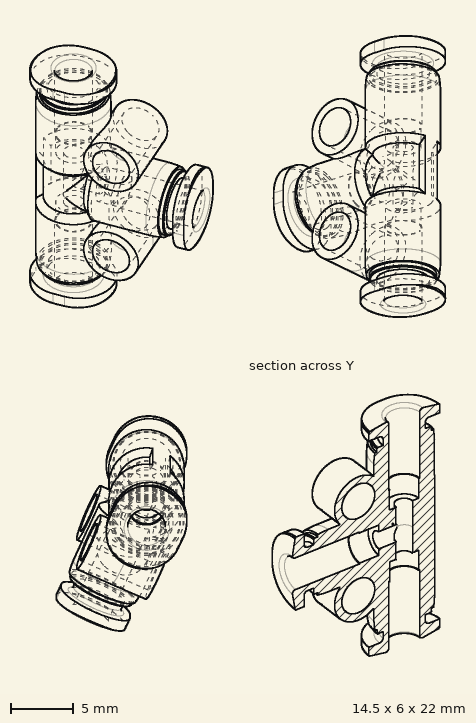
import cadquery as cq
import math

reach = 11.0
body_radius = 6.0 / 2

waist_radius = 2.4
waist_end = 2.5
waist_start = waist_end - (body_radius - waist_radius)
rib_width = 1.52

taper_start = 7.5
taper_end = 8.5
taper_end_radius = 2.9
collar_radius = 5.4 / 2
collar_end = 8.9
collar_chamfer = 0.09

neck_radius = 4.2 / 2
neck_fillet = 0.33
button_base = 9.81
button_width = 2 * body_radius
button_length = 7.0
crown_radius = 3.39
crown_drop = 0.26
crown_edge = button_length / 2 - crown_radius

tube_radius = 3.0 / 2
tube_stop = waist_end
tube_mouth_fillet = 0.3
mouth_radius = tube_radius + tube_mouth_fillet
seat_radius = 2.84 / 2
seat_end = 4.4
flow_radius = 1.6 / 2

eye_radius = 4.7 / 2
eye_hole_radius = 3.2 / 2
eye_offset = 4.5

DIAGONAL = math.sqrt(0.5)


def make_body_arm():
    """Arm of the fitting along +Z from the tee centre, up to the button."""
    taper_middle = (
        body_radius - (body_radius - taper_end_radius) / 4,
        (taper_start + taper_end) / 2,
    )
    fillet_middle = (
        neck_radius + neck_fillet * (1 - DIAGONAL),
        button_base - neck_fillet * (1 - DIAGONAL),
    )
    return (
        cq.Workplane("XZ")
        .lineTo(waist_radius, 0)
        .lineTo(waist_radius, waist_start)
        .lineTo(body_radius, waist_end)
        .lineTo(body_radius, taper_start)
        .threePointArc(taper_middle, (taper_end_radius, taper_end))
        .lineTo(collar_radius, taper_end)
        .lineTo(collar_radius, collar_end - collar_chamfer)
        .lineTo(collar_radius - collar_chamfer, collar_end)
        .lineTo(neck_radius, collar_end)
        .lineTo(neck_radius, button_base - neck_fillet)
        .threePointArc(fillet_middle, (neck_radius + neck_fillet, button_base))
        .lineTo(0, button_base)
        .close()
        .revolve(360, (0, 0), (0, 1))
    )


def make_button():
    """Obround release button with a conical crown, long along X."""
    plate = (
        cq.Workplane("XY", origin=(0, 0, button_base))
        .slot2D(button_length, button_width)
        .extrude(reach - button_base)
    )
    crown = (
        cq.Workplane("XZ")
        .moveTo(0, button_base)
        .lineTo(button_length / 2, button_base)
        .lineTo(button_length / 2, reach - crown_drop - crown_edge)
        .lineTo(crown_radius, reach - crown_drop)
        .lineTo(mouth_radius, reach)
        .lineTo(0, reach)
        .close()
        .revolve(360, (0, 0), (0, 1))
    )
    return plate.intersect(crown)


def make_passage():
    """Flow bore and tube socket of one arm, with a rounded mouth."""
    mouth_middle = (
        mouth_radius - tube_mouth_fillet * DIAGONAL,
        reach - tube_mouth_fillet * (1 - DIAGONAL),
    )
    return (
        cq.Workplane("XZ")
        .lineTo(flow_radius, 0)
        .lineTo(flow_radius, tube_stop)
        .lineTo(seat_radius, tube_stop)
        .lineTo(seat_radius, seat_end)
        .lineTo(tube_radius, seat_end)
        .lineTo(tube_radius, reach - tube_mouth_fillet)
        .threePointArc(mouth_middle, (mouth_radius, reach))
        .lineTo(0, reach)
        .close()
        .revolve(360, (0, 0), (0, 1))
    )


def make_rib():
    """Rib bridging the waist on the side away from the branch."""
    run = cq.Workplane("XY").circle(body_radius).extrude(waist_end, both=True)
    strip = cq.Workplane("XY").box(
        body_radius, rib_width, 2 * waist_end, centered=(False, True, True)
    )
    return run.intersect(strip.translate((-body_radius, 0, 0)))


def make_eye_cylinder(radius, side):
    """Full-depth cylinder along Y at the upper (+1) or lower (-1) eye."""
    return (
        cq.Workplane("XZ")
        .center(eye_offset, side * eye_offset)
        .circle(radius)
        .extrude(body_radius, both=True)
    )


def turn(shape, angle):
    """Swing an upright arm about Y: 0 is up, 90 points along +X, 180 is down."""
    return shape.rotate((0, 0, 0), (0, 1, 0), angle)


arm = make_body_arm().union(make_button())
passage = make_passage()
arm_angles = (0, 90, 180)
eye_sides = (1, -1)

result = make_rib()
for angle in arm_angles:
    result = result.union(turn(arm, angle))
for side in eye_sides:
    result = result.union(make_eye_cylinder(eye_radius, side))

for side in eye_sides:
    result = result.cut(make_eye_cylinder(eye_hole_radius, side))
for angle in arm_angles:
    result = result.cut(turn(passage, angle))